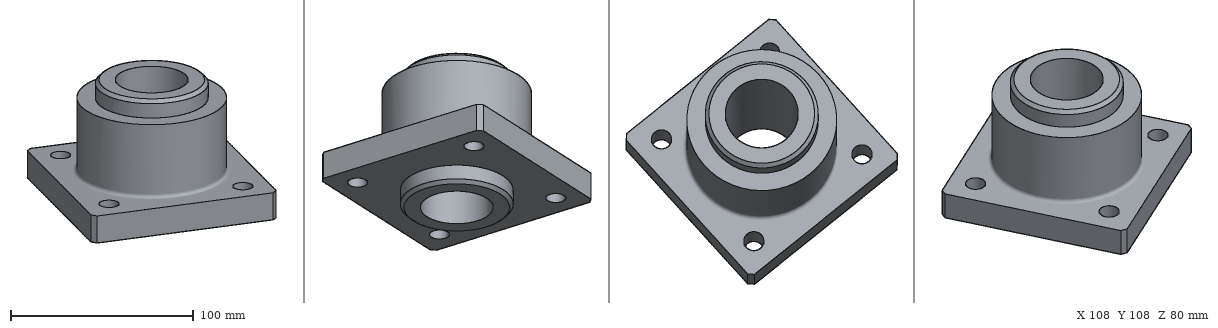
import cadquery as cq

flange_side = 108.0
flange_thickness = 16.0
corner_chamfer = 2.7

hole_diameter = 11.0
hole_spacing = 78.0

body_diameter = 82.2
root_fillet = 2.0

sleeve_diameter = 62.0
sleeve_length = 80.0
sleeve_protrusion = 10.5
sleeve_chamfer = 2.0
bore_diameter = 40.0

body_height = sleeve_length - 2 * sleeve_protrusion - flange_thickness


def make_flange():
    """Flange with its underside on Z = 0 and bevelled vertical corners."""
    plate = cq.Workplane("XY").rect(flange_side, flange_side).extrude(flange_thickness)
    return plate.edges("|Z").chamfer(corner_chamfer)


def add_body(flange):
    """Round body on the flange, blended at its root."""
    housing = flange.faces(">Z").workplane().circle(body_diameter / 2).extrude(body_height)
    root_edges = housing.faces(">Z[-2]").edges("%CIRCLE")
    return root_edges.fillet(root_fillet)


def make_sleeve():
    """Sleeve with bevelled outer rims."""
    sleeve = cq.Workplane("XY").workplane(offset=-sleeve_protrusion)
    sleeve = sleeve.circle(sleeve_diameter / 2).extrude(sleeve_length)
    return sleeve.faces("<Z or >Z").edges().chamfer(sleeve_chamfer)


def drill_holes(solid):
    """Central bore and four flange holes, all passing through."""
    bottom = cq.Workplane("XY").workplane(offset=-sleeve_protrusion)
    bore = bottom.circle(bore_diameter / 2).extrude(sleeve_length)
    holes = cq.Workplane("XY").rect(hole_spacing, hole_spacing, forConstruction=True).vertices()
    holes = holes.circle(hole_diameter / 2).extrude(flange_thickness)
    return solid.cut(bore).cut(holes)


result = drill_holes(add_body(make_flange()).union(make_sleeve()))